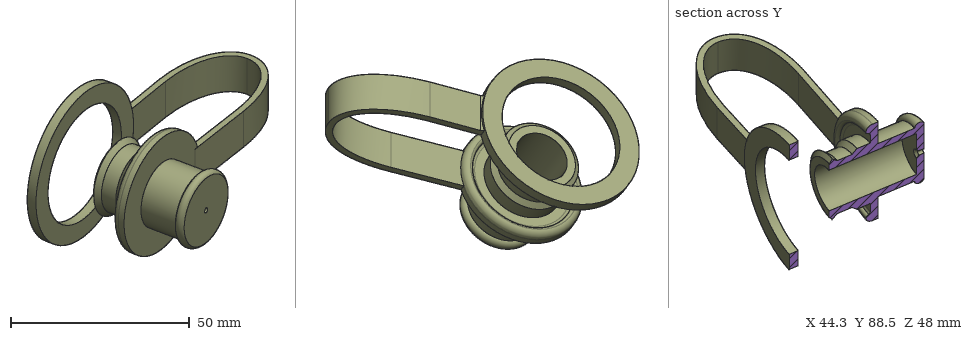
import cadquery as cq
import math

ring_diameter = 48.0
ring_hole_diameter = 36.0
ring_thickness = 3.0

total_length = 44.3
body_radius = 20.5 / 2
lip_radius = 23.5 / 2
plug_front = 13.1
lip_peak = 14.2
lip_back = 15.8
shoulder_start = 20.6
shoulder_end = 22.2
flange_front = 25.1
flange_back = 29.2
flange_radius = 18.6
flange_round = 2.1
recess_floor = 26.6
recess_floor_radius = 14.6
recess_wall_radius = 15.5
bead_round = 1.7
bead_centre = 42.75

bore_radius = 15.5 / 2
end_wall = body_radius - bore_radius
vent_diameter = 1.5
vent_mouth_diameter = 3.1

strap_width = 12.0
strap_thickness = 2.0
total_depth = 88.5
strap_tip = total_depth - ring_diameter / 2
strap_tip_x = 14.9
strap_overlap = 1.3
strap_bulge = 0.2
strap_widest_y = 39.8
strap_fullness_ring_side = 0.58
strap_fullness_flange_side = 0.6
leg_handle_share = 0.33

heel_height = 0.35
heel_end_y = 24.25


def make_ring():
    return (
        cq.Workplane("YZ")
        .circle(ring_diameter / 2)
        .circle(ring_hole_diameter / 2)
        .extrude(ring_thickness)
    )


def make_plug():
    """Revolved plug with sealing lip, dished flange and rounded end bead."""
    crest_radius = flange_radius - flange_round
    rim_round = crest_radius - recess_wall_radius
    diagonal = math.sqrt(0.5)
    flange_mid = (
        flange_front + flange_round * (1 - diagonal),
        crest_radius + flange_round * diagonal,
    )
    rim_mid = (
        flange_front + rim_round * (1 - diagonal),
        crest_radius - rim_round * diagonal,
    )
    bead_axis_radius = lip_radius - bead_round
    bead_start = bead_centre - math.sqrt(bead_round**2 - (body_radius - bead_axis_radius) ** 2)
    bead_end_radius = bead_axis_radius + math.sqrt(bead_round**2 - (total_length - bead_centre) ** 2)
    bore_floor = total_length - end_wall
    mouth_depth = (vent_mouth_diameter - vent_diameter) / 2
    profile = (
        cq.Workplane("XY")
        .moveTo(plug_front, bore_radius)
        .lineTo(plug_front, body_radius)
        .lineTo(lip_peak, lip_radius)
        .lineTo(lip_back, body_radius)
        .lineTo(shoulder_start, body_radius)
        .lineTo(shoulder_end, lip_radius)
        .lineTo(recess_floor, lip_radius)
        .lineTo(recess_floor, recess_floor_radius)
        .tangentArcPoint((flange_front + rim_round, recess_wall_radius), relative=False)
        .threePointArc(rim_mid, (flange_front, crest_radius))
        .threePointArc(flange_mid, (flange_front + flange_round, flange_radius))
        .lineTo(flange_back, flange_radius)
        .lineTo(flange_back, body_radius)
        .lineTo(bead_start, body_radius)
        .threePointArc((bead_centre, lip_radius), (total_length, bead_end_radius))
        .lineTo(total_length, vent_diameter / 2)
        .lineTo(bore_floor + mouth_depth, vent_diameter / 2)
        .lineTo(bore_floor, vent_mouth_diameter / 2)
        .lineTo(bore_floor, bore_radius)
        .close()
    )
    return profile.revolve(360, (0, 0, 0), (1, 0, 0))


def make_strap():
    """Strap bent in the XY plane, its ends buried in the ring and the flange rim."""
    half = strap_thickness / 2
    half_width = strap_width / 2
    ring_end = math.sqrt((ring_diameter / 2) ** 2 - half_width**2) - strap_overlap
    flange_end = math.sqrt(flange_radius**2 - half_width**2) - strap_overlap
    ends = [(ring_thickness - half, ring_end), (flange_back - half, flange_end)]
    sides = [ends[0][0] - strap_bulge, ends[1][0] + strap_bulge]
    tip = (strap_tip_x, strap_tip - half)
    fullness = [strap_fullness_ring_side, strap_fullness_flange_side]
    rise = [share * (tip[1] - strap_widest_y) for share in fullness]
    reach = [share * (tip[0] - side) for share, side in zip(fullness, sides)]
    leg_handle = leg_handle_share * (strap_widest_y - ring_end)
    path = (
        cq.Workplane("XY")
        .bezier([
            ends[0],
            (ends[0][0], ring_end + leg_handle),
            (sides[0], strap_widest_y - leg_handle),
            (sides[0], strap_widest_y),
        ])
        .bezier([
            (sides[0], strap_widest_y),
            (sides[0], strap_widest_y + rise[0]),
            (tip[0] - reach[0], tip[1]),
            tip,
        ])
        .bezier([
            tip,
            (tip[0] - reach[1], tip[1]),
            (sides[1], strap_widest_y + rise[1]),
            (sides[1], strap_widest_y),
        ])
        .bezier([
            (sides[1], strap_widest_y),
            (sides[1], strap_widest_y - leg_handle),
            (ends[1][0], flange_end + leg_handle),
            ends[1],
        ])
    )
    return (
        cq.Workplane("XZ", origin=(ends[0][0], ends[0][1], 0))
        .rect(strap_thickness, strap_width)
        .sweep(path)
    )


def make_heel():
    """Shallow ramp on the outer strap face where it meets the ring."""
    strap_face = ring_thickness - strap_thickness
    half_width = strap_width / 2
    ring_edge = math.sqrt((ring_diameter / 2) ** 2 - half_width**2)
    return (
        cq.Workplane("XY", origin=(0, 0, -half_width))
        .moveTo(strap_face, heel_end_y)
        .lineTo(strap_face - heel_height, ring_edge)
        .lineTo(ring_thickness / 2, ring_edge)
        .lineTo(ring_thickness / 2, heel_end_y)
        .close()
        .extrude(strap_width)
    )


result = make_ring().union(make_strap()).union(make_heel()).union(make_plug())